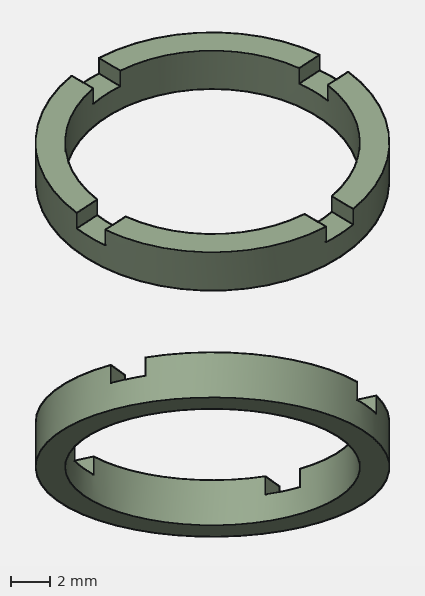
import cadquery as cq

outer_diameter = 18.0
inner_diameter = 15.0
height = 2.5

slot_width = 2.0
slot_depth = 1.0


def make_ring():
    """Plain ring standing on the XY plane."""
    return (
        cq.Workplane("XY")
        .circle(outer_diameter / 2)
        .circle(inner_diameter / 2)
        .extrude(height)
    )


def make_slot(angle):
    """Bar that cuts both opposite walls of the ring, turned about Z by the angle."""
    return (
        cq.Workplane("XY")
        .workplane(offset=height - slot_depth)
        .rect(2 * outer_diameter, slot_width)
        .extrude(2 * slot_depth)
        .rotate((0, 0, 0), (0, 0, 1), angle)
    )


result = make_ring()
for slot_angle in (0, 90):
    result = result.cut(make_slot(slot_angle))